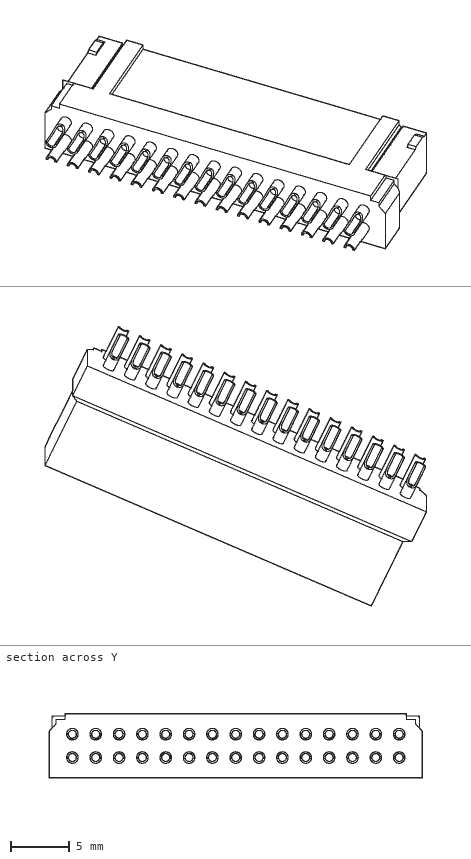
import cadquery as cq
import math


flange_width = 32.0
height = 5.5
depth = 10.0
flange_depth = 3.0
bevel_depth = 0.48
side_step = 0.6
level_step = 0.48

half_flange = flange_width / 2
half_body = half_flange - side_step
body_front = flange_depth + bevel_depth
body_depth = depth - body_front
body_height = height - level_step

rib_outer_x = 12.8
rib_inner_x = 11.25

groove_width = 0.4
groove_floor_width = 0.2
groove_depth = 0.2

notch_depth = 3.2
notch_width = 1.38
notch_wall_bottom = 0.85
notch_slope_bottom = 1.5

bump_width = 0.77
bump_height = 0.2
bump_back_gap = 0.48
bump_length = 1.92
bump_back_ramp = 0.4
bump_front_ramp = 0.2

pin_columns = 15
pin_pitch = flange_width / (pin_columns + 1)
pin_diameter = 1.0
pin_length = 3.1
cup_diameter = 0.67
cup_start = 1.02
cup_run_out_radius = 1.0

pin_radius = pin_diameter / 2


def mirror_ends(shape):
    """Return the shape together with its mirror image at the other X end."""
    return shape.union(shape.mirror("YZ"))


def extrude_along_y(points, start, length):
    """Extrude an (x, z) outline from Y = start towards +Y."""
    return cq.Workplane("XZ", origin=(0, start, 0)).polyline(points).close().extrude(-length)


def extrude_along_x(points, start, length):
    """Extrude a (y, z) outline from X = start towards +X."""
    return cq.Workplane("YZ", origin=(start, 0, 0)).polyline(points).close().extrude(length)


def make_blank():
    flange = cq.Workplane("XY").box(flange_width, flange_depth, height, centered=(True, False, False))
    flange = flange.translate((0, 0, -height))
    bevel = (
        cq.Workplane("XZ", origin=(0, flange_depth, -height / 2))
        .rect(flange_width, height)
        .workplane(offset=-bevel_depth)
        .center(0, level_step / 2)
        .rect(2 * half_body, body_height)
        .loft(ruled=True)
    )
    body = cq.Workplane("XY").box(2 * half_body, body_depth, body_height, centered=(True, False, False))
    body = body.translate((0, body_front, -body_height))
    return flange.union(bevel).union(body)


def make_top_recesses():
    """Lowered top areas; their front ends follow the bevel behind the flange."""
    length = depth - flange_depth
    floor = -level_step
    groove_floor = floor - groove_depth
    groove_left = -rib_outer_x - groove_width
    end_outline = [
        (-half_flange, 0),
        (-half_flange, floor),
        (groove_left, floor),
        (groove_left, groove_floor),
        (groove_left + groove_floor_width, groove_floor),
        (-rib_outer_x, floor),
        (-rib_outer_x, 0),
    ]
    centre_outline = [
        (-rib_inner_x, 0),
        (-rib_inner_x, floor),
        (rib_inner_x, floor),
        (rib_inner_x, 0),
    ]
    ends = mirror_ends(extrude_along_y(end_outline, flange_depth, length))
    centre = extrude_along_y(centre_outline, flange_depth, length)

    ramp_drop = 2 * level_step
    ramp_run = ramp_drop * bevel_depth / level_step
    ramp_outline = [
        (flange_depth, 0),
        (flange_depth, -ramp_drop),
        (flange_depth + ramp_run, -ramp_drop),
    ]
    ramp = extrude_along_x(ramp_outline, -half_flange, flange_width)
    return ends.union(centre).cut(ramp)


def make_corner_notches():
    outline = [
        (-half_flange, 0),
        (-half_flange, -notch_slope_bottom),
        (-half_body, -notch_wall_bottom),
        (-half_body, -level_step),
        (-half_flange + notch_width, -level_step),
        (-half_flange + notch_width, 0),
    ]
    return mirror_ends(extrude_along_y(outline, 0, notch_depth))


def make_latch_bumps():
    back = depth - bump_back_gap
    front = back - bump_length
    top = bump_height - level_step
    outline = [
        (front, -level_step),
        (front + bump_front_ramp, top),
        (back - bump_back_ramp, top),
        (back, -level_step),
    ]
    return mirror_ends(extrude_along_x(outline, -half_body, bump_width))


def make_pin():
    """Pin along -Y from the origin with its solder cup open towards +Z."""
    pin = cq.Workplane("XZ").circle(pin_radius).extrude(pin_length)
    bore = (
        cq.Workplane("XZ", origin=(0, -cup_start, 0))
        .circle(cup_diameter / 2)
        .extrude(pin_length - cup_start)
    )
    run_out_angle = math.acos(1 - pin_radius / cup_run_out_radius)
    arc_end_y = -cup_start - cup_run_out_radius * math.sin(run_out_angle)
    arc_middle = (
        arc_end_y + cup_run_out_radius * math.sin(run_out_angle / 2),
        cup_run_out_radius * (1 - math.cos(run_out_angle / 2)),
    )
    opening = (
        cq.Workplane("YZ", origin=(-pin_radius, 0, 0))
        .moveTo(-cup_start, pin_radius)
        .threePointArc(arc_middle, (arc_end_y, 0))
        .lineTo(-pin_length, 0)
        .lineTo(-pin_length, pin_radius)
        .close()
        .extrude(pin_diameter)
    )
    return pin.cut(bore).cut(opening)


result = make_blank().cut(make_top_recesses()).cut(make_corner_notches()).union(make_latch_bumps())

upper_pin = make_pin()
lower_pin = upper_pin.mirror("XY")
first_pin_x = -pin_pitch * (pin_columns - 1) / 2
for column in range(pin_columns):
    pin_x = first_pin_x + column * pin_pitch
    result = result.union(upper_pin.translate((pin_x, 0, (pin_pitch - height) / 2)))
    result = result.union(lower_pin.translate((pin_x, 0, (-pin_pitch - height) / 2)))